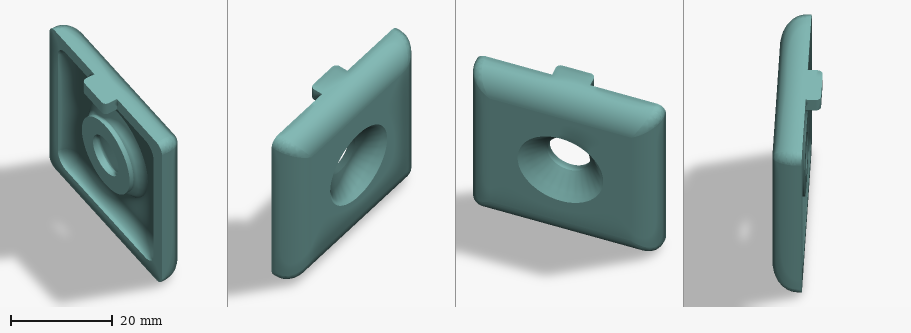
import cadquery as cq

side = 39.8
thickness = 6.0
outer_rounding = 5.0
corner_radius = 2.0

rim_width = 3.0
pocket_depth = 3.0
pocket_side = side - 2 * rim_width

boss_height = pocket_depth
boss_band = 1.0
boss_top_radius = 8.45
boss_base_radius = boss_top_radius + boss_height - boss_band

hole_radius = 4.5
hole_length = 1.5
sink_radius = hole_radius + thickness - hole_length

tab_width = 8.0
tab_length = 3.0
tab_rounding = 1.0


def square_block(width, y_start, y_end):
    """Square block centred on the Y axis, between two Y positions."""
    block = cq.Workplane("XY").box(width, y_end - y_start, width)
    return block.translate((0, (y_start + y_end) / 2, 0))


def revolved(profile):
    """Solid made by turning a (radius, Y) profile around the Y axis."""
    return cq.Workplane("XY").polyline(profile).close().revolve(360, (0, 0, 0), (0, 1, 0))


def make_shell():
    """Plate with rounded back edges and blended corners."""
    block = square_block(side, 0, thickness)
    rounded = block.faces(">Y").edges().fillet(outer_rounding)
    return rounded.edges("|Y").fillet(corner_radius)


def make_pocket():
    """Cutter for the pocket; it extends past the rim so its floor can be fully rounded."""
    block = square_block(pocket_side, -pocket_depth, pocket_depth)
    return block.edges("|Y").fillet(pocket_depth).faces(">Y").edges().fillet(pocket_depth)


def make_boss():
    """Conical boss with a short straight band, its top flush with the rim."""
    return revolved([
        (0, 0),
        (boss_top_radius, 0),
        (boss_top_radius, boss_band),
        (boss_base_radius, boss_height),
        (0, boss_height),
    ])


def make_hole():
    """Cutter for the central hole, countersunk from the back."""
    return revolved([
        (0, 0),
        (hole_radius, 0),
        (hole_radius, hole_length),
        (sink_radius, thickness),
        (0, thickness),
    ])


def make_tab():
    """Locating tab on the top rim, with rounded free corners."""
    tab = cq.Workplane("XY").box(tab_width, tab_length, rim_width)
    tab = tab.faces("<Y").edges("|Z").fillet(tab_rounding)
    return tab.translate((0, -tab_length / 2, (side - rim_width) / 2))


result = make_shell().cut(make_pocket()).union(make_boss()).cut(make_hole()).union(make_tab())